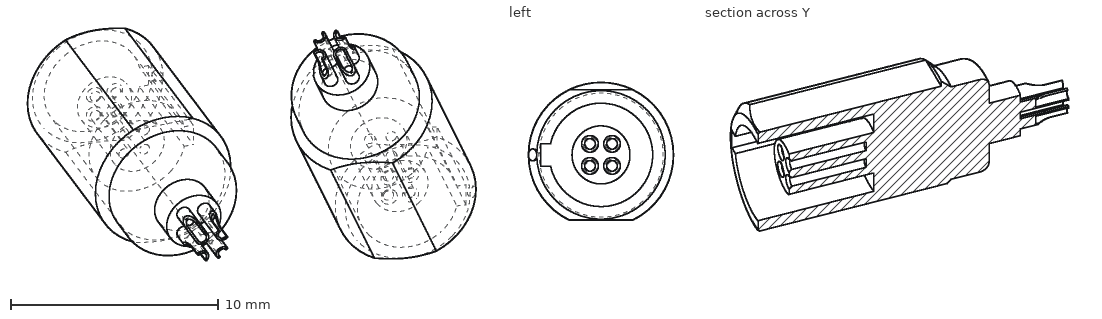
import cadquery as cq
import math

total_length = 16.1
shell_diameter = 7.0
shell_radius = shell_diameter / 2
shell_end = 9.5
front_chamfer = 0.4
overall_height = 6.65
flat_height = overall_height - shell_radius

collar_radius = 3.0
collar_end = 12.0
collar_round = 0.5
shoulder_end = shell_end + shell_radius - collar_radius

bore_radius = 2.5
bore_depth = 6.0
keyway_width = 1.1
keyway_reach = 2.9

dimple_radius = 0.29

insert_radius = 1.4
insert_start = 1.61
insert_end = 13.6

contact_offset = 0.53
socket_radius = 0.25
socket_mouth_radius = 0.4
socket_mouth_depth = 0.15
socket_depth = 4.0
pin_radius = 0.34
pin_embed = 0.16
cup_radius = 0.23
cup_depth = 1.69
cut_height = 0.03
cut_flat_start = 15.25
cut_arc_radius = 1.5


def rod(radius, start, end, y=0.0, z=0.0):
    """Cylinder along X between two X positions."""
    return cq.Workplane("YZ", origin=(start, y, z)).circle(radius).extrude(end - start)


def make_body():
    """Turned shell, shoulder and collar."""
    profile = (
        cq.Workplane("XY")
        .moveTo(0, 0)
        .lineTo(0, shell_radius - front_chamfer)
        .lineTo(front_chamfer, shell_radius)
        .lineTo(shell_end, shell_radius)
        .lineTo(shoulder_end, collar_radius)
        .lineTo(collar_end - collar_round, collar_radius)
        .radiusArc((collar_end, collar_radius - collar_round), collar_round)
        .lineTo(collar_end, 0)
        .close()
    )
    return profile.revolve(360, (0, 0, 0), (1, 0, 0))


def make_flat_cutter(side, end):
    """Block above (side = 1) or below (side = -1) the wrench flat, from X = 0 to end."""
    block_height = shell_radius
    center_z = side * (flat_height + block_height / 2)
    return (
        cq.Workplane("XY", origin=(end / 2, 0, center_z))
        .box(end, 2 * shell_radius, block_height)
    )


def make_keyway():
    """Slot on the +Y side of the bore."""
    return cq.Workplane("XY").box(
        bore_depth, keyway_reach, keyway_width, centered=(False, False, True)
    )


def make_dimple():
    """Ball centred on the middle of the front chamfer."""
    center = (front_chamfer / 2, shell_radius - front_chamfer / 2, 0)
    return cq.Workplane("XY", origin=center).sphere(dimple_radius)


def make_socket(y, z):
    """Blind socket with a conical mouth in the front face of the insert."""
    mouth = (
        cq.Workplane("YZ", origin=(insert_start, y, z))
        .circle(socket_mouth_radius)
        .workplane(offset=socket_mouth_depth)
        .circle(socket_radius)
        .loft()
    )
    return rod(socket_radius, insert_start, insert_start + socket_depth, y, z).union(mouth)


def make_solder_pin(y, z):
    """Pin with a solder cup opened on the side facing away from the X axis."""
    pin = rod(pin_radius, insert_end - pin_embed, total_length)
    cup = rod(cup_radius, total_length - cup_depth, total_length)
    top = cut_height + cut_arc_radius
    opening = (
        cq.Workplane("XZ")
        .moveTo(cut_flat_start - cut_arc_radius, top)
        .radiusArc((cut_flat_start, cut_height), -cut_arc_radius)
        .lineTo(total_length, cut_height)
        .lineTo(total_length, top)
        .close()
        .extrude(pin_radius, both=True)
    )
    turn = math.degrees(math.atan2(-y, z))
    cup_pin = pin.cut(cup).cut(opening)
    return cup_pin.rotate((0, 0, 0), (1, 0, 0), turn).translate((0, y, z))


result = make_body()
result = result.cut(make_flat_cutter(1, shell_end)).cut(make_flat_cutter(-1, shoulder_end))
result = result.cut(rod(bore_radius, 0, bore_depth)).cut(make_keyway()).cut(make_dimple())
result = result.union(rod(insert_radius, insert_start, insert_end))

for y in (-contact_offset, contact_offset):
    for z in (-contact_offset, contact_offset):
        result = result.cut(make_socket(y, z)).union(make_solder_pin(y, z))